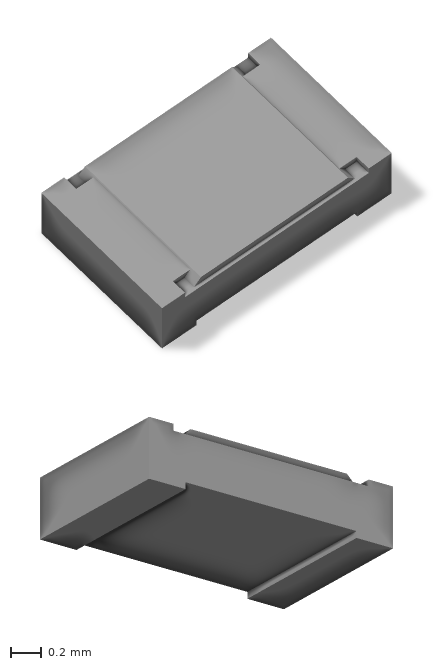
import cadquery as cq

width = 1.25
length = 2.0
height = 0.46

plating = 0.05
terminal_height = 0.45
bottom_pad_length = 0.3
top_pad_length = 0.2
tongue_width = 1.0

body_length = length - 2 * plating
body_top = terminal_height - plating

coat_width = 1.2
coat_base_length = 1.4
coat_thickness = height - body_top
coat_slope_run = 0.06


def block(size_x, y_min, y_max, z_min, z_max):
    """Box centred on X, spanning the given Y and Z limits."""
    return (
        cq.Workplane("XY")
        .box(size_x, y_max - y_min, z_max - z_min, centered=(True, False, False))
        .translate((0, y_min, z_min))
    )


def make_coat():
    """Trapezoidal profile in the YZ plane, extruded across the width."""
    base_end = coat_base_length / 2
    top_end = base_end - coat_slope_run
    return (
        cq.Workplane("YZ")
        .polyline([
            (-base_end, body_top),
            (base_end, body_top),
            (top_end, body_top + coat_thickness),
            (-top_end, body_top + coat_thickness),
        ])
        .close()
        .extrude(coat_width / 2, both=True)
    )


def make_terminal():
    """C-shaped terminal at the +Y end, with a tongue reaching under the coat."""
    end = length / 2
    tongue_end = coat_base_length / 2 - coat_slope_run
    end_wall = block(width, end - plating, end, 0, terminal_height)
    bottom_pad = block(width, end - bottom_pad_length, end, 0, plating)
    top_pad = block(width, end - top_pad_length, end, body_top, terminal_height)
    tongue = block(tongue_width, tongue_end, end, body_top, terminal_height)
    return end_wall.union(bottom_pad).union(top_pad).union(tongue)


body = block(width, -body_length / 2, body_length / 2, plating, body_top)
terminal = make_terminal()
result = body.union(make_coat()).union(terminal).union(terminal.mirror("XZ"))